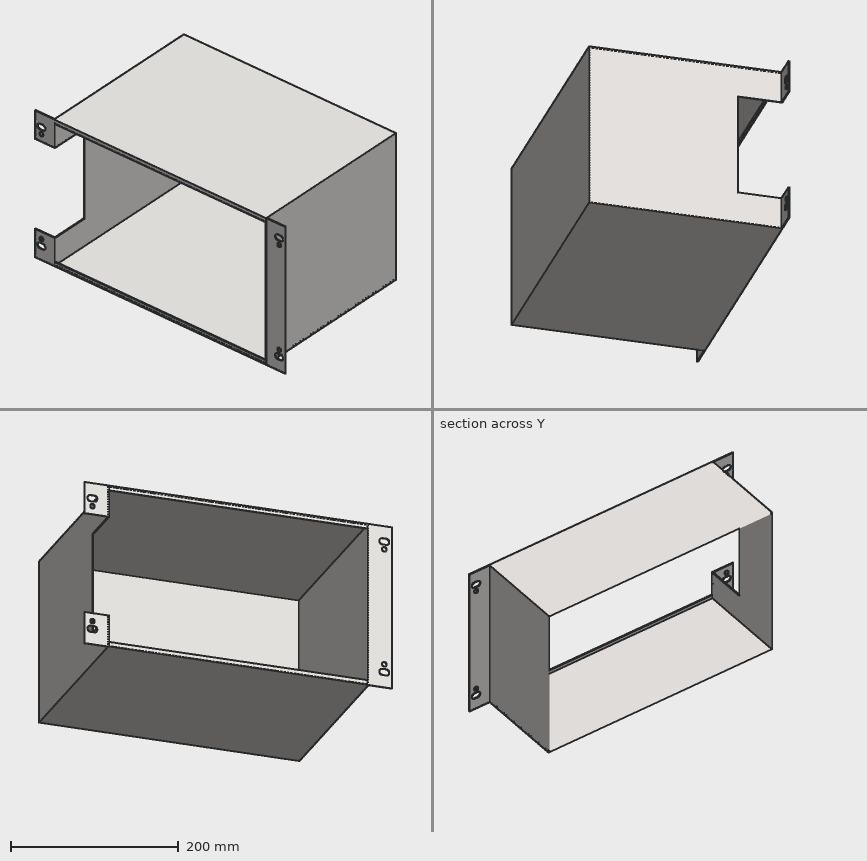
import cadquery as cq

flange_width = 390.0
depth = 240.2
height = 210.0

sheet = 1.5
box_width = 330.7
lip_height = 6.2

notch_height = 128.7
notch_depth = 55.5

hole_inset = 9.8
slot_height_offset = 85.0
slot_length = 12.5
slot_width = 8.0
pin_height_offset = 75.0
pin_diameter = 6.0

inner_width = box_width - 2 * sheet
inner_height = height - 2 * sheet
hole_x = flange_width / 2 - hole_inset


def centered_block(width, length, block_height):
    """Block centred in X and Z that starts at the front plane Y = 0."""
    return cq.Workplane("XY").box(width, length, block_height, centered=(True, False, True))


def make_box():
    """Five-walled box with its open side at the front."""
    outer = centered_block(box_width, depth, height)
    cavity = centered_block(inner_width, depth - sheet, inner_height)
    return outer.cut(cavity)


def make_front_frame():
    """Front sheet forming the side flanges and the top and bottom lips."""
    frame = centered_block(flange_width, sheet, height)
    window = centered_block(inner_width, sheet, height - 2 * lip_height)
    return frame.cut(window)


def make_left_notch():
    """Cutter through the left flange and the front part of the left wall."""
    notch_width = (flange_width - inner_width) / 2
    notch_center_x = (notch_width - flange_width) / 2
    return centered_block(notch_width, notch_depth, notch_height).translate((notch_center_x, 0, 0))


def hole_points(height_offset):
    """Four mirrored hole places, at the given distance above and below the middle."""
    return [(x, z) for x in (-hole_x, hole_x) for z in (-height_offset, height_offset)]


def make_mounting_holes():
    """Cutters for a slot and a round hole at each flange corner."""
    slots = (
        cq.Workplane("XZ")
        .pushPoints(hole_points(slot_height_offset))
        .slot2D(slot_length, slot_width)
        .extrude(-sheet)
    )
    pins = (
        cq.Workplane("XZ")
        .pushPoints(hole_points(pin_height_offset))
        .circle(pin_diameter / 2)
        .extrude(-sheet)
    )
    return slots.union(pins)


result = make_box().union(make_front_frame()).cut(make_left_notch()).cut(make_mounting_holes())